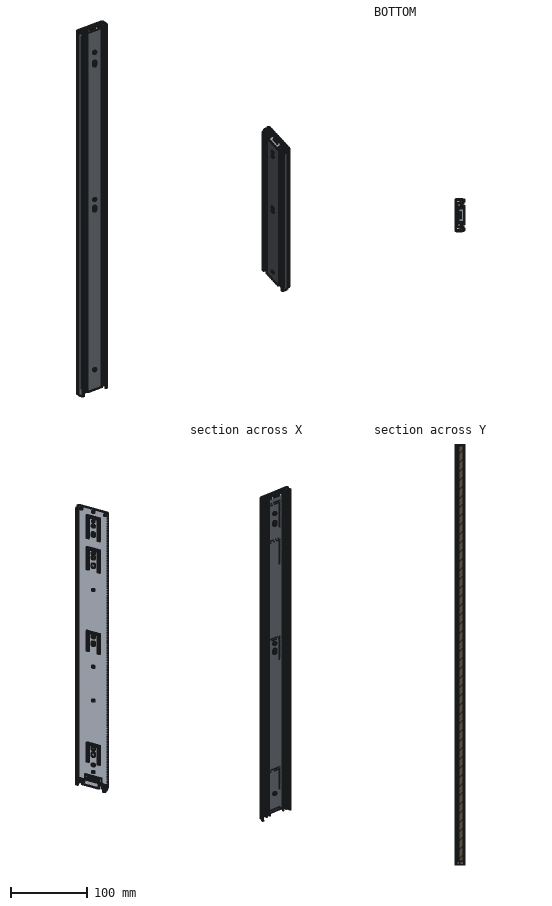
import cadquery as cq

LENGTH = 550.0
DEPTH = 12.5
WIDTH = 43.5
SHEET = 1.2

HALF_LENGTH = LENGTH / 2
HALF_DEPTH = DEPTH / 2
HALF_WIDTH = WIDTH / 2

WEB_OUTSIDE = -HALF_DEPTH
WEB_INSIDE = WEB_OUTSIDE + SHEET
OUTER_WEB_HALF = HALF_WIDTH - 3.0
GROOVE_X = -2.5
GROOVE_Y = HALF_WIDTH - 1.5
CROWN_X = 0.5
CROWN_HALF = 1.9
CROWN_RISE = 0.3
LIP_INSIDE = HALF_DEPTH - SHEET
LIP_Y = HALF_WIDTH - 4.5
WEB_CORNER_MID = (WEB_OUTSIDE + 0.65, HALF_WIDTH - 1.15)
WEB_CORNER_END = (WEB_OUTSIDE + 2.5, HALF_WIDTH - 0.2)
WEB_CORNER_INSIDE_MID = (WEB_INSIDE + 0.2, HALF_WIDTH - 2.25)
WEB_CORNER_INSIDE_END = (WEB_INSIDE + 0.7, HALF_WIDTH - 1.9)
LIP_CORNER_START = (HALF_DEPTH - 1.25, HALF_WIDTH - 1.0)
LIP_CORNER_MID = (HALF_DEPTH - 0.45, HALF_WIDTH - 1.5)
LIP_CORNER_INSIDE = (LIP_INSIDE - 0.45, HALF_WIDTH - 2.25)
CROWN_INSIDE_START_X = -0.3

INNER_RAILS_BOTTOM = -271.0
INNER_RAILS_TOP = 274.0
INNER_RAILS_LENGTH = INNER_RAILS_TOP - INNER_RAILS_BOTTOM
MIDDLE_WEB_OUTSIDE = -4.0
MIDDLE_WEB_INSIDE = MIDDLE_WEB_OUTSIDE + SHEET
MIDDLE_TIP_X = 4.7
MIDDLE_Y = HALF_WIDTH - 5.5
MIDDLE_CORNER = 1.5
INNER_WEB_INSIDE = HALF_DEPTH - SHEET
INNER_FLANGE_Y = 11.5
INNER_SHOULDER_Y = INNER_FLANGE_Y + 0.8
INNER_CORNER = 1.0
INNER_TIP_X = -1.5
RACE_X = 1.5
RACE_HALF = 2.5
RACE_SAG = 0.5

STOP_REACH_X = -2.0
STOP_WIDTH = 17.5
STOP_SLIT_X = 0.8
STOP_SLIT_WIDTH = 0.8
STOP_SLIT_LENGTH = 8.0

RETAINER_WIDTH = 3.5
RETAINER_BOTTOM = -264.0
RETAINER_TOP = 269.5
OUTER_RETAINER_Y = (16.5, 20.0)
INNER_RETAINER_Y = (12.5, 14.5)

BEADS = [(259.0, 213.5), (194.5, 150.0), (26.0, -14.0), (-199.0, -237.0)]
BEAD_WIDTH = 3.5
BEAD_FLOOR = 1.0
BEAD_DEPTH = 0.8
BEAD_OUTER_HALF = 9.5
BEAD_CENTRE_Y = BEAD_OUTER_HALF - BEAD_WIDTH / 2

SCREW_HOLE = 5.0
SMALL_HOLE = 4.1
CORNER_HOLE = 3.5
CORNER_HOLE_Y = 16.5
TOP_HOLE_Z = 269.0
SHORT_SLOT_LENGTH = 6.5
LONG_SLOT_LENGTH = 9.0
SMALL_HOLES_Z = [TOP_HOLE_Z, 249.5, 111.5, -43.0, -111.0, -255.0]
SCREW_HOLES_Z = [185.5]
SHORT_SLOTS_Z = [176.5, -208.0]
LONG_SLOTS_Z = [160.5, -220.0]
THROUGH_HOLES_Z = [240.5, 17.0, -241.0]
THROUGH_SLOTS_Z = [223.5, 3.5]

NOTCH_WIDTH = 23.0
NOTCH_HEIGHT = 11.0
NOTCH_FLARE = 1.5

CATCH_WIDTH = 16.5
CATCH_HEIGHT = 3.5
CATCH_REACH = 1.5


def mirrored_rail(half_outline, bottom, length):
    """Extrude the +Y half of a rail section and join it to its mirror image."""
    half = half_outline.close().extrude(length).translate((0, 0, bottom))
    return half.union(half.mirror("XZ")).clean()


def web_cutter(sketch):
    """Extrude a YZ outline far enough both ways to cut across the full depth of the slide."""
    return sketch.extrude(DEPTH, both=True)


def round_holes(diameter, heights):
    points = [(0, z) for z in heights]
    return web_cutter(cq.Workplane("YZ").pushPoints(points).circle(diameter / 2))


def upright_slots(length, heights):
    points = [(0, z) for z in heights]
    return web_cutter(cq.Workplane("YZ").pushPoints(points).slot2D(length, SCREW_HOLE, 90))


def cut_through_holes(rail):
    return rail.cut(round_holes(SCREW_HOLE, THROUGH_HOLES_Z)).cut(
        upright_slots(LONG_SLOT_LENGTH, THROUGH_SLOTS_Z)
    )


def u_bead(top, bottom, face_x):
    """U-shaped bead rising from face_x towards +X: two sloped legs and a crossbar at the top."""
    half = BEAD_WIDTH / 2
    bead = cq.Workplane("XY").box(
        BEAD_DEPTH, 2 * BEAD_CENTRE_Y, BEAD_WIDTH, centered=(False, True, False)
    )
    bead = bead.translate((face_x, 0, top - BEAD_WIDTH))
    for side in (-1, 1):
        centre = side * BEAD_CENTRE_Y
        leg = (
            cq.Workplane("XY", origin=(0, 0, bottom))
            .moveTo(face_x, centre - half)
            .lineTo(face_x + BEAD_DEPTH, centre - BEAD_FLOOR / 2)
            .lineTo(face_x + BEAD_DEPTH, centre + BEAD_FLOOR / 2)
            .lineTo(face_x, centre + half)
            .close()
            .extrude(top - bottom)
        )
        bead = bead.union(leg)
    return bead


def bottom_notch():
    half = NOTCH_WIDTH / 2
    bottom = -HALF_LENGTH
    outline = (
        cq.Workplane("YZ", origin=(WEB_OUTSIDE, 0, 0))
        .moveTo(-half - NOTCH_FLARE, bottom)
        .lineTo(-half, bottom + NOTCH_FLARE)
        .lineTo(-half, bottom + NOTCH_HEIGHT)
        .lineTo(half, bottom + NOTCH_HEIGHT)
        .lineTo(half, bottom + NOTCH_FLARE)
        .lineTo(half + NOTCH_FLARE, bottom)
        .close()
    )
    return outline.extrude(SHEET)


def make_outer_rail():
    crown_edge = HALF_WIDTH - CROWN_RISE
    half = (
        cq.Workplane("XY")
        .moveTo(WEB_OUTSIDE, 0)
        .lineTo(WEB_OUTSIDE, OUTER_WEB_HALF)
        .threePointArc(WEB_CORNER_MID, WEB_CORNER_END)
        .threePointArc((GROOVE_X, GROOVE_Y), (CROWN_X - CROWN_HALF, crown_edge))
        .threePointArc((CROWN_X, HALF_WIDTH), (CROWN_X + CROWN_HALF, crown_edge))
        .lineTo(*LIP_CORNER_START)
        .threePointArc(LIP_CORNER_MID, (HALF_DEPTH, OUTER_WEB_HALF))
        .lineTo(HALF_DEPTH, LIP_Y)
        .lineTo(LIP_INSIDE, LIP_Y)
        .lineTo(LIP_INSIDE, OUTER_WEB_HALF)
        .lineTo(*LIP_CORNER_INSIDE)
        .lineTo(CROWN_X + CROWN_HALF, crown_edge - SHEET)
        .threePointArc((CROWN_X, HALF_WIDTH - SHEET), (CROWN_INSIDE_START_X, crown_edge - SHEET))
        .threePointArc((GROOVE_X, GROOVE_Y - SHEET), WEB_CORNER_INSIDE_END)
        .threePointArc(WEB_CORNER_INSIDE_MID, (WEB_INSIDE, OUTER_WEB_HALF))
        .lineTo(WEB_INSIDE, 0)
    )
    rail = mirrored_rail(half, -HALF_LENGTH, LENGTH)

    for top, bottom in BEADS:
        rail = rail.union(u_bead(top, bottom, WEB_INSIDE))
        rail = rail.cut(u_bead(top, bottom, WEB_OUTSIDE))

    rail = cut_through_holes(rail)
    rail = rail.cut(round_holes(SMALL_HOLE, SMALL_HOLES_Z))
    rail = rail.cut(round_holes(SCREW_HOLE, SCREW_HOLES_Z))
    rail = rail.cut(upright_slots(SHORT_SLOT_LENGTH, SHORT_SLOTS_Z))
    rail = rail.cut(upright_slots(LONG_SLOT_LENGTH, LONG_SLOTS_Z))
    for side in (-1, 1):
        corner = (
            cq.Workplane("YZ", origin=(WEB_OUTSIDE, 0, 0))
            .center(side * CORNER_HOLE_Y, TOP_HOLE_Z)
            .circle(CORNER_HOLE / 2)
            .extrude(SHEET)
        )
        rail = rail.cut(corner)
    return rail.cut(bottom_notch())


def make_middle_rail():
    race_start = RACE_X - RACE_HALF
    race_end = RACE_X + RACE_HALF
    inside_y = MIDDLE_Y - SHEET
    corner = MIDDLE_CORNER
    half = (
        cq.Workplane("XY")
        .moveTo(MIDDLE_WEB_OUTSIDE, 0)
        .lineTo(MIDDLE_WEB_OUTSIDE, MIDDLE_Y - corner)
        .radiusArc((MIDDLE_WEB_OUTSIDE + corner, MIDDLE_Y), corner)
        .lineTo(race_start, MIDDLE_Y)
        .threePointArc((RACE_X, MIDDLE_Y - RACE_SAG), (race_end, MIDDLE_Y))
        .lineTo(MIDDLE_TIP_X, MIDDLE_Y)
        .lineTo(MIDDLE_TIP_X, inside_y)
        .lineTo(race_end, inside_y)
        .threePointArc((RACE_X, inside_y - RACE_SAG), (race_start, inside_y))
        .lineTo(MIDDLE_WEB_OUTSIDE + corner, inside_y)
        .radiusArc((MIDDLE_WEB_INSIDE, MIDDLE_Y - corner), -(corner - SHEET))
        .lineTo(MIDDLE_WEB_INSIDE, 0)
    )
    rail = cut_through_holes(mirrored_rail(half, INNER_RAILS_BOTTOM, INNER_RAILS_LENGTH))
    catch = cq.Workplane("XY").box(CATCH_REACH, CATCH_WIDTH, CATCH_HEIGHT, centered=(False, True, False))
    return rail.union(catch.translate((MIDDLE_WEB_OUTSIDE - CATCH_REACH, 0, INNER_RAILS_BOTTOM)))


def end_stop():
    reach = INNER_WEB_INSIDE - STOP_REACH_X
    stop = cq.Workplane("XY").box(reach, STOP_WIDTH, SHEET, centered=(False, True, False))
    stop = stop.translate((STOP_REACH_X, 0, INNER_RAILS_TOP - SHEET))
    slit = cq.Workplane("XY").box(STOP_SLIT_WIDTH, STOP_SLIT_LENGTH, SHEET)
    return stop.cut(slit.translate((STOP_SLIT_X, 0, INNER_RAILS_TOP - SHEET / 2)))


def make_inner_rail():
    race_start = RACE_X - RACE_HALF
    race_end = RACE_X + RACE_HALF
    inside_y = INNER_FLANGE_Y - SHEET
    corner = INNER_CORNER
    half = (
        cq.Workplane("XY")
        .moveTo(HALF_DEPTH, 0)
        .lineTo(HALF_DEPTH, INNER_SHOULDER_Y - corner)
        .radiusArc((HALF_DEPTH - corner, INNER_SHOULDER_Y), -corner)
        .lineTo(race_end, INNER_FLANGE_Y)
        .threePointArc((RACE_X, INNER_FLANGE_Y - RACE_SAG), (race_start, INNER_FLANGE_Y))
        .lineTo(INNER_TIP_X, INNER_FLANGE_Y)
        .lineTo(INNER_TIP_X, inside_y)
        .lineTo(race_start, inside_y)
        .threePointArc((RACE_X, inside_y - RACE_SAG), (race_end, inside_y))
        .lineTo(INNER_WEB_INSIDE, INNER_SHOULDER_Y - SHEET)
        .lineTo(INNER_WEB_INSIDE, 0)
    )
    rail = cut_through_holes(mirrored_rail(half, INNER_RAILS_BOTTOM, INNER_RAILS_LENGTH))
    return rail.union(end_stop())


def make_retainer(y_range, side):
    """Straight strip between two facing races, on the +Y or -Y side."""
    y_near, y_far = y_range
    strip = cq.Workplane("XY").box(RETAINER_WIDTH, y_far - y_near, RETAINER_TOP - RETAINER_BOTTOM)
    return strip.translate(
        (RACE_X, side * (y_near + y_far) / 2, (RETAINER_TOP + RETAINER_BOTTOM) / 2)
    )


outer_rail = make_outer_rail()
middle_rail = make_middle_rail()
inner_rail = make_inner_rail()
outer_retainers = [make_retainer(OUTER_RETAINER_Y, side) for side in (-1, 1)]
inner_retainers = [make_retainer(INNER_RETAINER_Y, side) for side in (-1, 1)]

result = cq.Compound.makeCompound(
    [
        outer_rail.val(),
        middle_rail.val(),
        inner_rail.val(),
        *[retainer.val() for retainer in outer_retainers],
        *[retainer.val() for retainer in inner_retainers],
    ]
)